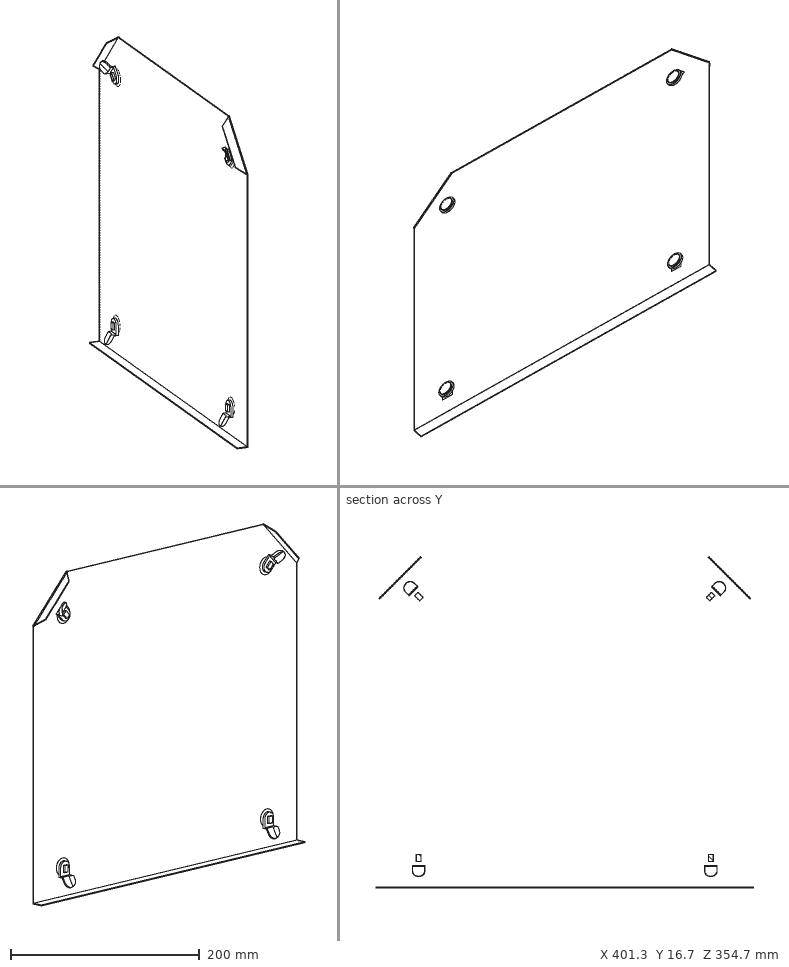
import cadquery as cq
import math

overall_width = 401.3
panel_height = 354.0
sheet = 1.0
corner_cut = 51.5
bottom_fold_depth = 12.5
corner_fold_depth = 11.2

grip_width = 13.2
grip_thickness = 2.5
grip_below = 10.5
button_width = 5.2
button_top = 2.5
button_bottom = -5.2
button_height = 2.2

shelf_thickness = 1.2
lever_tilt = 30.0
lever_root_gap = 1.5
lever_length = 13.5
lever_thickness = 1.5
wing_width = 4.5
wing_angle = 30.0

retainer_radius = 9.5
retainer_thickness = 2.0
cap_radius = 7.5
cap_thickness = 1.3

lower_latch_offset = 155.0
lower_latch_height = 33.0
upper_latch_offset = 153.5
upper_latch_height = 307.8
upper_latch_turn = 135.0

panel_width = overall_width - sheet * math.sqrt(2)
grip_radius = grip_width / 2
panel_front = -sheet
grip_front = panel_front - grip_thickness
shelf_bottom = -grip_below
shelf_top = shelf_bottom + shelf_thickness


def box_between(x0, x1, y0, y1, z0, z1):
    return cq.Workplane("XY").box(x1 - x0, y1 - y0, z1 - z0, centered=False).translate((x0, y0, z0))


def make_corner_fold():
    """Mitred strip along the upper left corner cut, standing outside the cut edge."""
    half = corner_cut * math.sqrt(2) / 2
    free_half = half - corner_fold_depth
    outline = [(-half, 0), (half, 0), (free_half, -corner_fold_depth), (-free_half, -corner_fold_depth)]
    strip = cq.Workplane("XY").polyline(outline).close().extrude(sheet)
    middle_x = -panel_width / 2 + corner_cut / 2
    middle_z = panel_height - corner_cut / 2
    return strip.rotate((0, 0, 0), (0, 1, 0), -45).translate((middle_x, 0, middle_z))


def make_panel():
    half = panel_width / 2
    outline = [
        (-half, 0),
        (half, 0),
        (half, panel_height - corner_cut),
        (half - corner_cut, panel_height),
        (-half + corner_cut, panel_height),
        (-half, panel_height - corner_cut),
    ]
    plate = cq.Workplane("XZ").polyline(outline).close().extrude(sheet)
    bottom_fold = box_between(-half, half, -bottom_fold_depth, 0, 0, sheet)
    left_fold = make_corner_fold()
    return plate.union(bottom_fold).union(left_fold).union(left_fold.mirror("YZ"))


def make_lever():
    """Round-ended finger lever: shaped hanging straight down, then tilted out about its upper edge."""
    wing_rise = wing_width * math.tan(math.radians(wing_angle))
    wing_start = grip_radius - wing_width
    above = grip_radius
    bar = (
        cq.Workplane("XY", origin=(0, 0, -lever_length))
        .moveTo(-grip_radius, -lever_thickness)
        .lineTo(-grip_radius, 0)
        .lineTo(grip_radius, 0)
        .lineTo(grip_radius, -lever_thickness - wing_rise)
        .lineTo(wing_start, -lever_thickness)
        .close()
        .extrude(lever_length + above)
    )
    planform = (
        cq.Workplane("XZ")
        .moveTo(-grip_radius, above)
        .lineTo(-grip_radius, grip_radius - lever_length)
        .threePointArc((0, -lever_length), (grip_radius, grip_radius - lever_length))
        .lineTo(grip_radius, above)
        .close()
        .extrude(lever_thickness + wing_rise)
    )
    root_y = grip_front - lever_root_gap
    lever = bar.intersect(planform).rotate((0, 0, 0), (1, 0, 0), -lever_tilt)
    lever = lever.translate((0, root_y, shelf_top))
    reach = 2 * lever_length
    return lever.cut(box_between(-reach, reach, root_y - reach, root_y + reach, shelf_top, shelf_top + reach))


def make_latch_front():
    """Grip plate, button, shelf and lever, around the centre of the grip's round end."""
    grip = (
        cq.Workplane("XZ", origin=(0, panel_front, 0))
        .moveTo(-grip_radius, shelf_bottom)
        .lineTo(-grip_radius, 0)
        .threePointArc((0, grip_radius), (grip_radius, 0))
        .lineTo(grip_radius, shelf_bottom)
        .close()
        .extrude(grip_thickness)
    )
    half_button = button_width / 2
    button = box_between(
        -half_button, half_button, grip_front - button_height, grip_front, button_bottom, button_top
    )
    shelf_front = grip_front - lever_root_gap - lever_thickness
    shelf = box_between(-grip_radius, grip_radius, shelf_front, grip_front, shelf_bottom, shelf_top)
    return grip.union(button).union(shelf).union(make_lever())


def make_latch_retainer():
    """Disc on the back of the panel with its cap, around the disc's centre."""
    disc = cq.Workplane("XZ").circle(retainer_radius).extrude(-retainer_thickness)
    cap = cq.Workplane("XZ", origin=(0, retainer_thickness, 0)).circle(cap_radius).extrude(-cap_thickness)
    return disc.union(cap)


def place_latch(body, x, z, turn):
    return body.rotate((0, 0, 0), (0, 1, 0), turn).translate((x, 0, z))


panel = make_panel()

latch_places = []
for side in (-1, 1):
    latch_places.append((side * lower_latch_offset, lower_latch_height, 0))
    latch_places.append((side * upper_latch_offset, upper_latch_height, -side * upper_latch_turn))

latch_bodies = []
for place in latch_places:
    latch_bodies.append(place_latch(make_latch_front(), *place).val())
    latch_bodies.append(place_latch(make_latch_retainer(), *place).val())

result = cq.Compound.makeCompound([panel.val(), *latch_bodies])